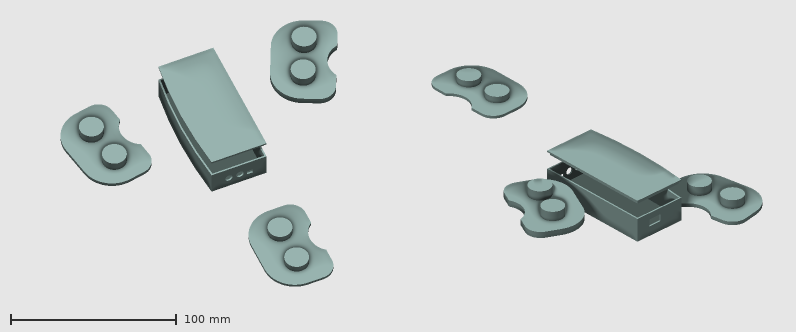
import cadquery as cq


box_length = 80.0
box_side_depth = 36.2
front_bulge = 2.6
box_height = 16.0
box_bottom = 10.4
wall = 1.0

lid_bottom = 38.2
lid_thickness = 1.0
lip_inset = 1.2
lip_height = 2.0

port_centre_y = -14.5
port_width = 9.4
port_height = 4.9
port_centre_z = 19.5

jack_radius = 2.5
jack_spacing = 7.3
jack_centre_z = 17.9
first_jack_y = -17.5

slot_width = 4.0
slot_height = 2.8
slot_centre_y = -11.0
slot_bottom = jack_centre_z - jack_radius

pad_length = 60.0
pad_width = 40.0
back_corner_radius = 10.0
front_corner_radius = 20.0
notch_width = 22.5
notch_depth = 5.7
peg_radius = 7.5
peg_spacing = 25.0

pad_layouts = [
    (118.1, -20.0, 38.0, 0, 1.8, 4.5),
    (-23.8, -80.0, 0, 10, 2.5, 6.0),
    (-8.1, 45.5, 37.2, -25, 4.3, 6.5),
]


def bowed_block(offset, bottom, height):
    """Block with three straight sides and a bowed front, inset by offset."""
    half_length = box_length / 2 - offset
    front_corner_y = -box_side_depth + offset
    return (
        cq.Workplane("XY", origin=(0, 0, bottom))
        .moveTo(-half_length, -offset)
        .lineTo(half_length, -offset)
        .lineTo(half_length, front_corner_y)
        .threePointArc((0, front_corner_y - front_bulge), (-half_length, front_corner_y))
        .close()
        .extrude(height)
    )


def make_box():
    """Open-topped box with a port at the -X end and a slot and two jacks at the +X end."""
    shell = bowed_block(0, box_bottom, box_height).cut(bowed_block(wall, box_bottom + wall, box_height))

    cutter_length = 4 * wall
    end_x = box_length / 2
    port = cq.Workplane("XY").box(cutter_length, port_width, port_height)
    shell = shell.cut(port.translate((-end_x, port_centre_y, port_centre_z)))

    slot = cq.Workplane("XY").box(cutter_length, slot_width, slot_height)
    shell = shell.cut(slot.translate((end_x, slot_centre_y, slot_bottom + slot_height / 2)))

    for index in range(2):
        jack_y = first_jack_y - index * jack_spacing
        jack = (
            cq.Workplane("YZ", origin=(end_x - cutter_length / 2, jack_y, jack_centre_z))
            .circle(jack_radius)
            .extrude(cutter_length)
        )
        shell = shell.cut(jack)
    return shell


def make_lid():
    """Thin bowed plate with a rectangular locating lip underneath."""
    plate = bowed_block(0, lid_bottom, lid_thickness)
    lip = (
        cq.Workplane("XY", origin=(0, -box_side_depth / 2, lid_bottom - lip_height))
        .rect(box_length - 2 * lip_inset, box_side_depth - 2 * lip_inset)
        .extrude(lip_height)
    )
    return plate.union(lip)


def make_pad(plate_thickness, peg_height):
    """Rounded plate with a round notch in its back edge and two pegs on top."""
    plate = cq.Workplane("XY").rect(pad_length, pad_width).extrude(plate_thickness)
    plate = plate.edges("|Z and >Y").fillet(back_corner_radius)
    plate = plate.edges("|Z and <Y").fillet(front_corner_radius)

    notch_radius = ((notch_width / 2) ** 2 + notch_depth**2) / (2 * notch_depth)
    notch_centre_y = pad_width / 2 - notch_depth + notch_radius
    notch = cq.Workplane("XY").center(0, notch_centre_y).circle(notch_radius).extrude(plate_thickness)

    pegs = (
        cq.Workplane("XY", origin=(0, 0, plate_thickness))
        .pushPoints([(-peg_spacing / 2, 0), (peg_spacing / 2, 0)])
        .circle(peg_radius)
        .extrude(peg_height)
    )
    return plate.cut(notch).union(pegs)


box = make_box()
lid = make_lid()
pads = []
for x, y, bottom, turn, plate_thickness, peg_height in pad_layouts:
    pad = make_pad(plate_thickness, peg_height)
    pad = pad.rotate((0, 0, 0), (0, 0, 1), turn).translate((x, y, bottom))
    pads.append(pad.val())

result = cq.Compound.makeCompound([box.val(), lid.val(), *pads])